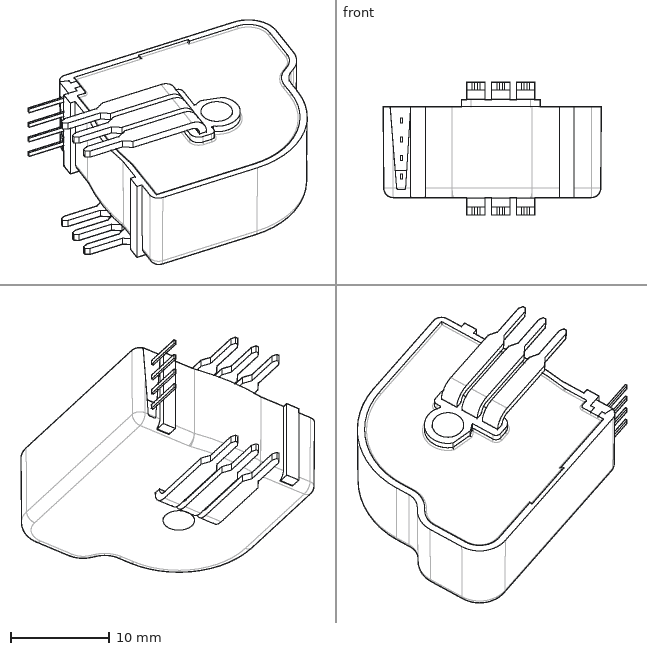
import cadquery as cq
import math


rim_z = 9.27
left_x = -12.98
top_y = 11.7
front_y = -11.75
lobe_radius = 9.2
crest_x = -4.35
shoulder_x = -2.55
ear_radius = 3.2
crest_radius = 3.0
shoulder_radius = 2.0
draft_angle = 0.4
edge_radius = 1.0
bulge_center_x = -1.9
bulge_half_width = 4.07
bulge_depth = 0.35
hole_radius = 1.6

wall = 0.75
floor_z = wall
cavity_front_y = -11.1
cavity_bulge_half_width = 4.92
cavity_bulge_depth = 0.45
left_recess_depth = 0.28
left_recess_y = (-2.6, 3.05)
post_x = -9.45
post_y = -10.1
post_radius = 0.28
meniscus_radius = 0.2

boss_height = 0.72
boss_radius = 2.4
boss_neck_half_width = 1.98
boss_neck_y = (-2.75, -0.55)
boss_flat_y = (-0.65, 1.62)
plate_width = 8.03
plate_back_y = -1.57
plate_front_y = -4.05
plate_back_radius = 0.55
plate_front_radius = 1.0

tab_width = 1.48
tab_depth = 0.55
tab_left_edges = (-10.18, 4.95)

bar_pitch = 2.53
bar_center_x = -1.02
bar_width = 1.9
bar_thickness = 0.8
bar_back_y = -2.4
bar_bend_radius = 0.88
bar_reach = 1.75
bar_leg_width = 0.8
bar_taper_y = (-10.75, -11.65)
bar_tip_width = 0.3
bar_tip_length = 0.47
end_y = -15.8

plug_rim_x = (-12.26, -10.18)
plug_bottom_x = (-11.6, -10.7)
plug_bottom_z = 0.82
plug_bottom_radius = 0.2
plug_back_y = -10.78
plug_lean = 0.28
plug_chin_z = 2.75
plug_neck_x = (-11.58, -10.65)
pin_x = -11.1
pin_width = 0.22
pin_height = 0.5
pin_pitch = 1.9
pin_count = 4
top_pin_depth = 1.43

boss_top_z = rim_z + boss_height
top_pin_z = rim_z - top_pin_depth
bar_bottom_z = -bar_reach
bar_top_z = boss_top_z + bar_reach


def block(x_range, y_range, z_range):
    """Box between two limits along each axis."""
    (x0, x1), (y0, y1), (z0, z1) = x_range, y_range, z_range
    return cq.Workplane("XY").box(x1 - x0, y1 - y0, z1 - z0, centered=False).translate((x0, y0, z0))


def rounded_outline(outline, corner_radii):
    """Outline with the corners at the given points rounded to the given radii."""
    face = cq.Face.makeFromWires(outline)
    for (x, y), radius in corner_radii.items():
        corner = min(face.Vertices(), key=lambda v: math.hypot(v.X - x, v.Y - y))
        face = face.fillet2D(radius, [corner])
    return face.outerWire()


def plan_outline(front, half_bulge, bulge):
    """Closed outline of the housing with square front corners and a bulged front edge at y = front."""
    sharp = (
        cq.Workplane("XY")
        .moveTo(left_x, front)
        .lineTo(bulge_center_x - half_bulge, front)
        .threePointArc((bulge_center_x, front - bulge), (bulge_center_x + half_bulge, front))
        .lineTo(lobe_radius, front)
        .lineTo(lobe_radius, lobe_radius)
        .lineTo(shoulder_x, lobe_radius)
        .lineTo(crest_x, top_y)
        .lineTo(left_x, top_y)
        .close()
    )
    corner_radii = {
        (left_x, top_y): ear_radius,
        (crest_x, top_y): crest_radius,
        (shoulder_x, lobe_radius): shoulder_radius,
        (lobe_radius, lobe_radius): lobe_radius,
    }
    return rounded_outline(sharp.val(), corner_radii)


def shell_blank():
    """Drafted outside of the housing with rounded front corners and bottom edge."""
    front_corners = {(left_x, front_y): edge_radius, (lobe_radius, front_y): edge_radius}
    outline = rounded_outline(plan_outline(front_y, bulge_half_width, bulge_depth), front_corners)
    blank = cq.Workplane("XY").add(outline).toPending().extrude(-rim_z, taper=draft_angle)
    return blank.translate((0, 0, rim_z)).faces("<Z").edges().fillet(edge_radius)


def cavity(bottom_z, top_z):
    """Inside of the housing between two heights, without the boss."""
    height = top_z - bottom_z
    outline = plan_outline(cavity_front_y - wall, cavity_bulge_half_width, cavity_bulge_depth)
    inside = cq.Workplane("XY").add(outline).toPending().offset2D(-wall).extrude(height)
    recess = block((left_x + wall - left_recess_depth, left_x + 2 * wall), left_recess_y, (0, height))
    post = block((left_x, post_x), (front_y, post_y), (0, height))
    post = post.edges("|Z and >X and >Y").fillet(post_radius)
    return inside.union(recess).cut(post).translate((0, 0, bottom_z))


def boss_ring(bottom_z, top_z):
    """Round column around the through hole, flattened on the left."""
    height = top_z - bottom_z
    ring = cq.Workplane("XY").circle(boss_radius).extrude(height)
    chord = [(-math.sqrt(boss_radius**2 - y**2), y) for y in boss_flat_y]
    outside = [(-2 * boss_radius, y) for y in reversed(boss_flat_y)]
    beyond_flat = cq.Workplane("XY").polyline(chord + outside).close().extrude(height)
    return ring.cut(beyond_flat).translate((0, 0, bottom_z))


def boss_neck(bottom_z, top_z):
    """Straight column that joins the ring to the plate."""
    neck_x = (-boss_neck_half_width, boss_neck_half_width)
    return block(neck_x, boss_neck_y, (bottom_z, top_z))


def boss_plate(bottom_z, top_z):
    """Rounded rectangular column around the bars."""
    plate_x = (bar_center_x - plate_width / 2, bar_center_x + plate_width / 2)
    plate = block(plate_x, (plate_front_y, plate_back_y), (bottom_z, top_z))
    plate = plate.edges("|Z and >Y").fillet(plate_back_radius)
    return plate.edges("|Z and <Y").fillet(plate_front_radius)


def boss(bottom_z, top_z):
    """Keyhole-shaped column around the through hole and the bars, without their openings."""
    column = boss_ring(bottom_z, top_z)
    return column.union(boss_neck(bottom_z, top_z)).union(boss_plate(bottom_z, top_z))


def bar(center_x):
    """Flat U-shaped primary conductor with tapered solder legs."""
    side_y = (end_y, bar_back_y)
    half = bar_width / 2
    x_range = (center_x - half, center_x + half)
    outer = block(x_range, side_y, (bar_bottom_z, bar_top_z))
    outer = outer.edges("|X and >Y").fillet(bar_bend_radius + bar_thickness)
    inner_z = (bar_bottom_z + bar_thickness, bar_top_z - bar_thickness)
    inner = block(x_range, (end_y, bar_back_y - bar_thickness), inner_z)
    inner = inner.edges("|X and >Y").fillet(bar_bend_radius)

    taper_start_y, taper_end_y = bar_taper_y
    right_side = [
        (half, bar_back_y),
        (half, taper_start_y),
        (bar_leg_width / 2, taper_end_y),
        (bar_leg_width / 2, end_y + bar_tip_length),
        (bar_tip_width / 2, end_y),
    ]
    left_side = [(-x, y) for x, y in reversed(right_side)]
    flat_shape = (
        cq.Workplane("XY", origin=(center_x, 0, bar_bottom_z))
        .polyline(right_side + left_side)
        .close()
        .extrude(bar_top_z - bar_bottom_z)
    )
    return outer.cut(inner).intersect(flat_shape)


def plug():
    """Tapered block in the front wall that holds the signal pins, with its neck into the cavity."""
    rim_left, rim_right = plug_rim_x
    bottom_left, bottom_right = plug_bottom_x

    def section(y, lean):
        corners = [
            (rim_left + lean, y, rim_z),
            (rim_right, y, rim_z),
            (bottom_right, y, plug_bottom_z),
            (bottom_left + lean, y, plug_bottom_z),
        ]
        return cq.Wire.makePolygon([cq.Vector(*c) for c in corners], close=True)

    body = cq.Workplane(cq.Solid.makeLoft([section(front_y, 0), section(plug_back_y, plug_lean)], True))
    body = body.faces("<Z").edges("<X or >X").fillet(plug_bottom_radius)
    bottom_part = block(plug_rim_x, (front_y, plug_back_y), (0, plug_chin_z))
    chin = body.intersect(bottom_part).intersect(shell_blank())
    neck = block(plug_neck_x, (plug_back_y, post_y), (floor_z, rim_z))
    return body.cut(bottom_part).union(chin).union(neck)


def signal_pin(center_z):
    """Straight rectangular pin from the back of the plug to the front."""
    x_range = (pin_x - pin_width / 2, pin_x + pin_width / 2)
    return block(x_range, (end_y, plug_back_y), (center_z - pin_height / 2, center_z + pin_height / 2))


def potting():
    """Filling of the cavity: it climbs the walls and the boss in a small concave fillet."""
    pan_z = rim_z - meniscus_radius
    fill = cavity(floor_z, rim_z).cut(boss(floor_z, rim_z))
    pan = cavity(pan_z, boss_top_z).faces("<Z").edges().fillet(meniscus_radius)
    for column in (boss_ring, boss_neck, boss_plate):
        around = block((left_x, lobe_radius), (front_y, top_y), (pan_z, boss_top_z))
        around = around.cut(column(pan_z, boss_top_z))
        foot_edges = around.faces("<Z").wires(cq.selectors.AreaNthSelector(0)).edges()
        pan = pan.intersect(foot_edges.fillet(meniscus_radius))
    return fill.cut(pan).union(plug())


def housing():
    """Open shell with the boss and the mounting tabs."""
    shell = shell_blank().cut(cavity(floor_z, rim_z))
    shell = shell.union(boss(0, boss_top_z))
    for tab_left in tab_left_edges:
        tab_y = (front_y - tab_depth, cavity_front_y)
        shell = shell.union(block((tab_left, tab_left + tab_width), tab_y, (0, rim_z)))
    hole = cq.Workplane("XY").circle(hole_radius).extrude(boss_top_z)
    return shell.cut(hole).cut(plug())


bars = [bar(bar_center_x + i * bar_pitch) for i in (-1, 0, 1)]
signal_pins = [signal_pin(top_pin_z - i * pin_pitch) for i in range(pin_count)]

housing_body = housing()
for conductor in bars:
    housing_body = housing_body.cut(conductor)

potting_body = potting()
for pin in signal_pins:
    potting_body = potting_body.cut(pin)

inserts = [body.val() for body in bars + signal_pins]
result = cq.Compound.makeCompound([*housing_body.vals(), *potting_body.vals(), *inserts])